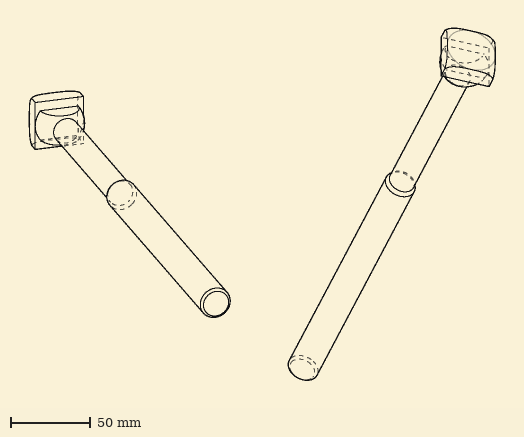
import cadquery as cq

total_length = 327.0
head_width = 32.0
head_thickness = 12.0
corner_round = 7.0
neck_width = 20.0
shank_diameter = 16.7
thread_diameter = 20.0
thread_start = 137.5
runout_length = 3.0

shank_radius = shank_diameter / 2
thread_radius = thread_diameter / 2
end_chamfer = thread_radius - shank_radius


def make_head():
    """Square head whose outer corners are turned to a round tangent to its face."""
    block = cq.Workplane("YZ").rect(head_width, head_width).extrude(head_thickness)
    face_radius = head_width / 2
    turned_blank = (
        cq.Workplane("YZ")
        .circle(face_radius + corner_round)
        .extrude(head_thickness)
        .faces("<X")
        .edges()
        .fillet(corner_round)
    )
    return block.intersect(turned_blank)


def make_neck():
    """Half ball behind the head, flattened above and below to fit the slot."""
    dome_radius = head_width / 2
    ball = cq.Workplane("XY").sphere(dome_radius)
    slab = cq.Workplane("XY").box(dome_radius, head_width, neck_width, centered=(False, True, True))
    return ball.intersect(slab).translate((head_thickness, 0, 0))


def make_shaft():
    """Plain shank, conical runout and chamfered threaded length."""
    return (
        cq.Workplane("XY")
        .moveTo(head_thickness, 0)
        .lineTo(head_thickness, shank_radius)
        .lineTo(thread_start - runout_length, shank_radius)
        .lineTo(thread_start, thread_radius)
        .lineTo(total_length - end_chamfer, thread_radius)
        .lineTo(total_length, shank_radius)
        .lineTo(total_length, 0)
        .close()
        .revolve(360, (0, 0, 0), (1, 0, 0))
    )


result = make_head().union(make_neck()).union(make_shaft())